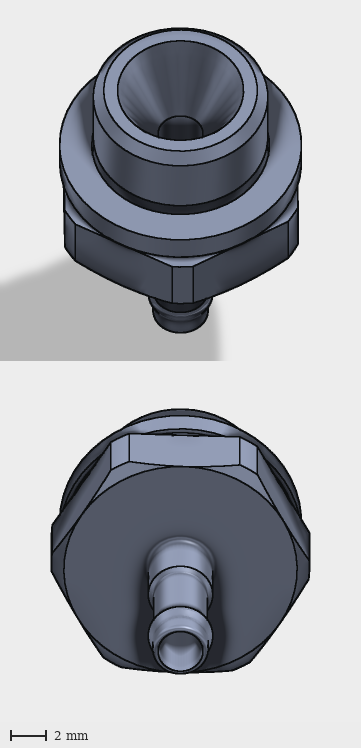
import cadquery as cq
import math

total_height = 20.2
lip_top_z = 2.0
lip_cone_top_z = 1.72
lip_cone_end_z = 1.2
shoulder_top_z = 6.73
hex_bottom_z = 9.72
hex_top_z = 13.43
washer_bottom_z = 13.74
washer_top_z = 15.31
thread_bottom_z = 16.0

bore_diameter = 2.5
shaft_diameter = 3.0
tip_diameter = 3.1
barb_diameter = 3.6
thread_diameter = 9.74
neck_diameter = 8.25
washer_inner_diameter = 9.9
washer_outer_diameter = 13.5
funnel_diameter = 7.03

hex_across_flats = 13.0
hex_corner_diameter = 14.4
hex_chamfer_angle = 30.0

thread_chamfer = 0.59
funnel_angle = 60.0
undercut_cone_width = 0.3
undercut_angle = 30.0
tip_round = 0.3
lip_top_round = 0.08
lip_bottom_round = 0.2
lip_cone_round = 0.4
shoulder_round = 0.2
stem_root_round = 0.4


def round_edge(body, diameter, height, radius):
    """Round the circular edge found at the given diameter and height."""
    reach = diameter / 2 + 0.01
    tolerance = 0.01
    band_inset = 0.02
    band = cq.selectors.BoxSelector(
        (-reach, -reach, height - tolerance),
        (reach, reach, height + tolerance),
        boundingbox=True,
    )
    inner_edges = cq.selectors.BoxSelector(
        (-reach + band_inset, -reach + band_inset, height - tolerance),
        (reach - band_inset, reach - band_inset, height + tolerance),
        boundingbox=True,
    )
    return body.edges(band - inner_edges).fillet(radius)


def make_cylinder(diameter, bottom_z, top_z):
    return cq.Workplane("XY").workplane(offset=bottom_z).circle(diameter / 2).extrude(top_z - bottom_z)


def make_stem():
    """Hose stem with a tapered shoulder and a barb lip near its tip."""
    shaft_radius = shaft_diameter / 2
    tip_radius = tip_diameter / 2
    barb_radius = barb_diameter / 2
    shoulder_end_z = shoulder_top_z - (barb_radius - shaft_radius)
    stem = (
        cq.Workplane("XZ")
        .lineTo(tip_radius, 0)
        .lineTo(tip_radius, lip_cone_end_z)
        .lineTo(barb_radius, lip_cone_top_z)
        .lineTo(barb_radius, lip_top_z)
        .lineTo(shaft_radius, lip_top_z)
        .lineTo(shaft_radius, shoulder_end_z)
        .lineTo(barb_radius, shoulder_top_z)
        .lineTo(barb_radius, hex_bottom_z)
        .lineTo(0, hex_bottom_z)
        .close()
        .revolve(360, (0, 0, 0), (0, 1, 0))
    )
    stem = round_edge(stem, tip_diameter, 0, tip_round)
    stem = round_edge(stem, tip_diameter, lip_cone_end_z, lip_cone_round)
    stem = round_edge(stem, barb_diameter, lip_cone_top_z, lip_bottom_round)
    stem = round_edge(stem, barb_diameter, lip_top_z, lip_top_round)
    return round_edge(stem, shaft_diameter, shoulder_end_z, shoulder_round)


def make_hexagon():
    """Hexagon with two corners on the Y axis and a conical chamfer underneath."""
    across_corners = hex_across_flats / math.cos(math.radians(30))
    prism = (
        cq.Workplane("XY")
        .workplane(offset=hex_bottom_z)
        .transformed(rotate=(0, 0, 90))
        .polygon(6, across_corners)
        .extrude(hex_top_z - hex_bottom_z)
    )
    chamfer_width = (hex_corner_diameter - hex_across_flats) / 2
    chamfer_height = chamfer_width * math.tan(math.radians(hex_chamfer_angle))
    turned_blank = (
        make_cylinder(hex_corner_diameter, hex_bottom_z, hex_top_z)
        .faces("<Z")
        .edges()
        .chamfer(chamfer_height, chamfer_width)
    )
    return prism.intersect(turned_blank)


def make_threaded_end():
    """Plain thread cylinder with a chamfered mouth and a rounded undercut that flares out to the washer."""
    thread_radius = thread_diameter / 2
    cone_height = undercut_cone_width * math.tan(math.radians(undercut_angle))
    arc_start = (thread_radius - undercut_cone_width, thread_bottom_z - cone_height)
    arc_middle = (neck_diameter / 2, (thread_bottom_z + washer_bottom_z) / 2)
    arc_end = (washer_inner_diameter / 2, washer_bottom_z)
    return (
        cq.Workplane("XZ")
        .moveTo(0, washer_bottom_z)
        .lineTo(*arc_end)
        .threePointArc(arc_middle, arc_start)
        .lineTo(thread_radius, thread_bottom_z)
        .lineTo(thread_radius, total_height - thread_chamfer)
        .lineTo(thread_radius - thread_chamfer, total_height)
        .lineTo(0, total_height)
        .close()
        .revolve(360, (0, 0, 0), (0, 1, 0))
    )


def make_washer():
    """Sealing washer sitting on the collar, closing off the flared neck undercut."""
    opening = make_cylinder(washer_inner_diameter, washer_bottom_z, washer_top_z)
    return make_cylinder(washer_outer_diameter, washer_bottom_z, washer_top_z).cut(opening)


def make_passage():
    """Through bore that opens into a conical funnel at the threaded end."""
    bore_radius = bore_diameter / 2
    funnel_radius = funnel_diameter / 2
    funnel_depth = (funnel_radius - bore_radius) / math.tan(math.radians(funnel_angle / 2))
    return (
        cq.Workplane("XZ")
        .lineTo(bore_radius, 0)
        .lineTo(bore_radius, total_height - funnel_depth)
        .lineTo(funnel_radius, total_height)
        .lineTo(0, total_height)
        .close()
        .revolve(360, (0, 0, 0), (0, 1, 0))
    )


collar = make_cylinder(hex_across_flats, hex_top_z, washer_bottom_z)
body = make_hexagon().union(make_stem())
body = round_edge(body, barb_diameter, hex_bottom_z, stem_root_round)
body = body.union(collar).union(make_threaded_end()).union(make_washer())
result = body.cut(make_passage())